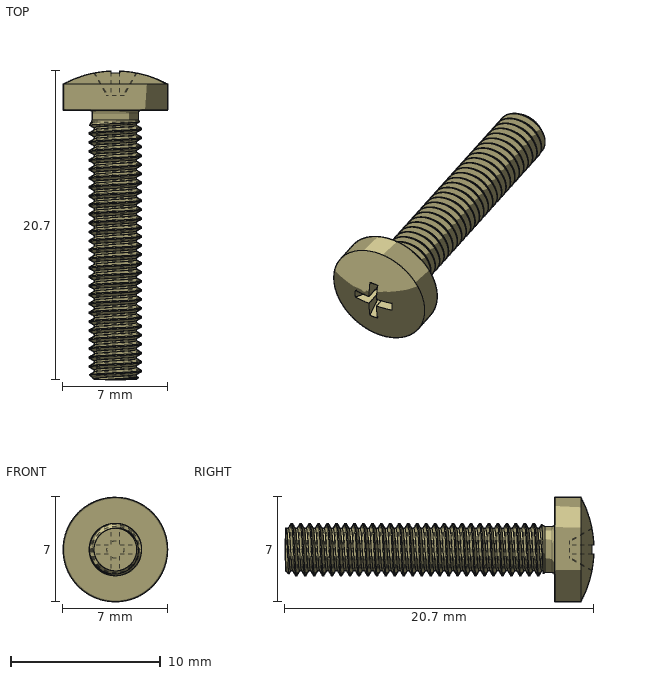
import cadquery as cq
import math


head_radius = 3.502
head_height = 2.65
rim_height = 1.75
rim_edge_radius = 0.06

recess_width = 0.58
recess_top_radius = 1.5
recess_bottom_radius = 0.58
recess_depth = 1.65

neck_radius = 1.55
neck_fillet = 0.17
neck_end = -0.65
collar_radius = 1.61
collar_end = -0.76

shank_length = 17.97
tip_crown = 0.054
tip_radius = 1.43
major_radius = 1.75
root_radius = 1.43
pitch = 0.6
flank_angle = math.radians(30)
first_crest = 0.55
groove_overshoot = 0.08

groove_turns = (1, 1, 26, 1, 1)

thread_depth = major_radius - root_radius
crest_flat = pitch / 8
root_flat = pitch - crest_flat - 2 * thread_depth * math.tan(flank_angle)


def make_head():
    """Domed head with a slightly rounded bearing edge, plus the neck and collar."""
    dome_height = head_height - rim_height
    dome_radius = (head_radius**2 + dome_height**2) / (2 * dome_height)
    half_radius = head_radius / 2
    half_height = head_height - dome_radius + math.sqrt(dome_radius**2 - half_radius**2)
    profile = (
        cq.Workplane("XZ")
        .moveTo(0, collar_end)
        .lineTo(collar_radius, collar_end)
        .lineTo(neck_radius, neck_end)
        .lineTo(neck_radius, -neck_fillet)
        .radiusArc((neck_radius + neck_fillet, 0), neck_fillet)
        .lineTo(head_radius - rim_edge_radius, 0)
        .radiusArc((head_radius, rim_edge_radius), -rim_edge_radius)
        .lineTo(head_radius, rim_height)
        .threePointArc((half_radius, half_height), (0, head_height))
        .close()
    )
    return profile.revolve(360, (0, 0, 0), (0, 1, 0))


def make_recess():
    """Two crossing slots whose outer ends lie on a cone narrowing downwards."""
    cone = (
        cq.Workplane("XY", origin=(0, 0, head_height))
        .circle(recess_top_radius)
        .workplane(offset=-recess_depth)
        .circle(recess_bottom_radius)
        .loft(ruled=True)
    )
    slot_length = 2 * recess_top_radius
    floor = head_height - recess_depth
    base = cq.Workplane("XY", origin=(0, 0, floor))
    along_x = base.rect(slot_length, recess_width).extrude(recess_depth)
    along_y = base.rect(recess_width, slot_length).extrude(recess_depth)
    return along_x.union(along_y).intersect(cone)


def make_groove(start, turns):
    """Cutter following the thread for some turns, from its centre at +X and height start."""
    half_root = root_flat / 2
    half_mouth = half_root + (thread_depth + groove_overshoot) * math.tan(flank_angle)
    mouth_radius = major_radius + groove_overshoot
    helix = cq.Wire.makeHelix(pitch, turns * pitch, root_radius, cq.Vector(0, 0, start))
    profile = (
        cq.Workplane("XZ", origin=(0, 0, start))
        .moveTo(root_radius, -half_root)
        .lineTo(mouth_radius, -half_mouth)
        .lineTo(mouth_radius, half_mouth)
        .lineTo(root_radius, half_root)
        .close()
    )
    return profile.sweep(cq.Workplane(helix), isFrenet=True)


def make_threaded_shank():
    """Rod flaring from the collar to a chamfered, crowned tip, cut by the groove."""
    flare_slope = (neck_end - collar_end) / (collar_radius - neck_radius)
    full_thread_top = collar_end - flare_slope * (major_radius - collar_radius)
    tip_chamfer = major_radius - tip_radius
    shank = (
        cq.Workplane("XZ")
        .moveTo(0, collar_end)
        .lineTo(collar_radius, collar_end)
        .lineTo(major_radius, full_thread_top)
        .lineTo(major_radius, tip_chamfer - shank_length)
        .lineTo(tip_radius, -shank_length)
        .lineTo(0, -shank_length - tip_crown)
        .close()
        .revolve(360, (0, 0, 0), (0, 1, 0))
    )
    start = first_crest - 1.5 * pitch - shank_length
    for turns in groove_turns:
        shank = shank.cut(make_groove(start, turns), clean=False)
        start += turns * pitch
    return shank


screw = make_head().cut(make_recess()).union(make_threaded_shank(), clean=False)
result = screw.rotate((0, 0, 0), (1, 0, 0), -90)